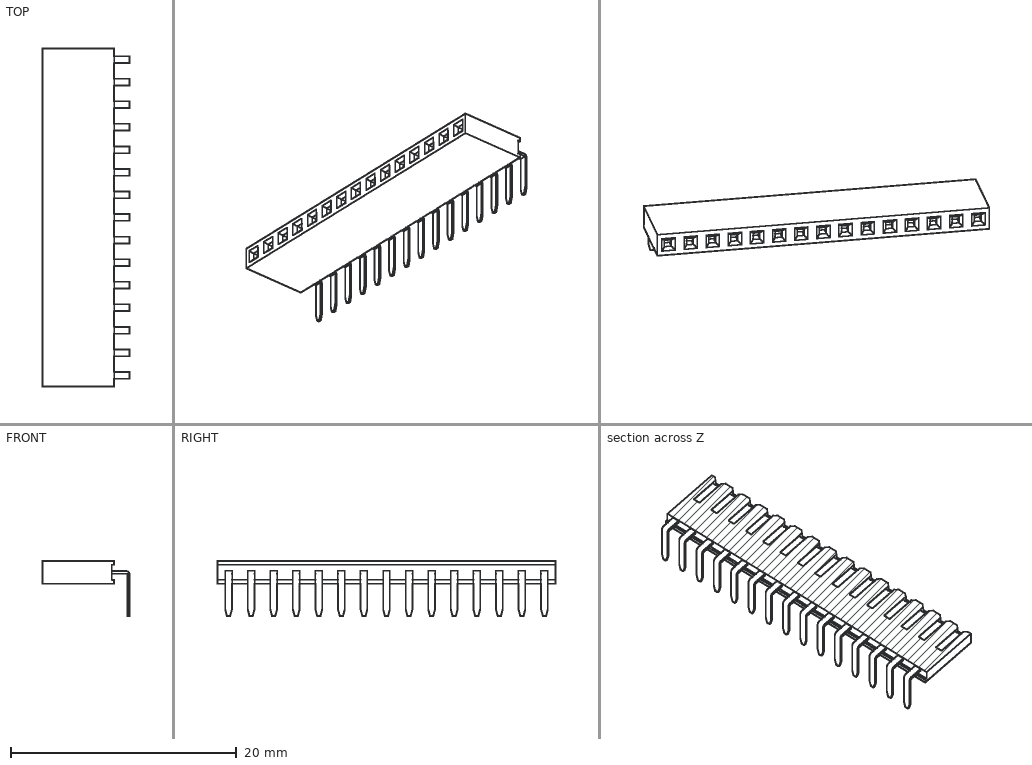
import cadquery as cq

PIN_COUNT = 15
PITCH = 2.0

BODY_LENGTH = 6.35
BODY_WIDTH = PIN_COUNT * PITCH
BODY_HEIGHT = 2.05

CHANNEL_DEPTH = 0.2
LIP_HEIGHT = 0.36

PIN_WIDTH = 0.62
PIN_THICKNESS = 0.25
LEG_THICKNESS = 0.2
PIN_REACH = 7.72
OVERALL_HEIGHT = 4.9
PIN_DROP = OVERALL_HEIGHT - BODY_HEIGHT / 2
BEND_RADIUS = 0.3
TIP_LENGTH = 0.6
TIP_WIDTH = 0.3
BLADE_START = 0.7

ENTRY_SIZE = 1.2
BORE_SIZE = PIN_WIDTH
ENTRY_DEPTH = 0.27
BORE_DEPTH = 3.0

REAR_WALL_X = BODY_LENGTH - CHANNEL_DEPTH
LEG_INNER_X = PIN_REACH - LEG_THICKNESS
PIN_TOP_Z = PIN_THICKNESS / 2
PIN_POSITIONS = [(i - (PIN_COUNT - 1) / 2) * PITCH for i in range(PIN_COUNT)]


def make_body():
    """Rectangular housing with the full-width channel in its rear face."""
    block = cq.Workplane("XY").box(BODY_LENGTH, BODY_WIDTH, BODY_HEIGHT, centered=(False, True, True))
    channel = (
        cq.Workplane("XY")
        .box(CHANNEL_DEPTH, BODY_WIDTH, BODY_HEIGHT - 2 * LIP_HEIGHT, centered=(False, True, True))
        .translate((REAR_WALL_X, 0, 0))
    )
    return block.cut(channel)


def make_socket(y):
    """Cavity of one socket: tapered entry, then a blind square bore."""
    entry = (
        cq.Workplane("YZ")
        .center(y, 0)
        .rect(ENTRY_SIZE, ENTRY_SIZE)
        .workplane(offset=ENTRY_DEPTH)
        .rect(BORE_SIZE, BORE_SIZE)
        .loft()
    )
    bore = (
        cq.Workplane("YZ", origin=(ENTRY_DEPTH, y, 0))
        .rect(BORE_SIZE, BORE_SIZE)
        .extrude(BORE_DEPTH)
    )
    return entry.union(bore)


def make_pin(y):
    """One bent pin, from its blade inside the bore to its tapered tip."""
    strip = (
        cq.Workplane("XZ")
        .moveTo(BLADE_START, PIN_TOP_Z)
        .lineTo(PIN_REACH - BEND_RADIUS, PIN_TOP_Z)
        .tangentArcPoint((PIN_REACH, PIN_TOP_Z - BEND_RADIUS), relative=False)
        .lineTo(PIN_REACH, -PIN_DROP)
        .lineTo(LEG_INNER_X, -PIN_DROP)
        .lineTo(LEG_INNER_X, -PIN_TOP_Z)
        .lineTo(BLADE_START, -PIN_TOP_Z)
        .close()
        .extrude(PIN_WIDTH / 2, both=True)
    )
    outline = (
        cq.Workplane("YZ")
        .moveTo(-PIN_WIDTH / 2, PIN_TOP_Z)
        .lineTo(PIN_WIDTH / 2, PIN_TOP_Z)
        .lineTo(PIN_WIDTH / 2, TIP_LENGTH - PIN_DROP)
        .lineTo(TIP_WIDTH / 2, -PIN_DROP)
        .lineTo(-TIP_WIDTH / 2, -PIN_DROP)
        .lineTo(-PIN_WIDTH / 2, TIP_LENGTH - PIN_DROP)
        .close()
        .extrude(PIN_REACH)
    )
    return strip.intersect(outline).translate((0, y, 0))


result = make_body()
for pin_y in PIN_POSITIONS:
    result = result.cut(make_socket(pin_y)).union(make_pin(pin_y))